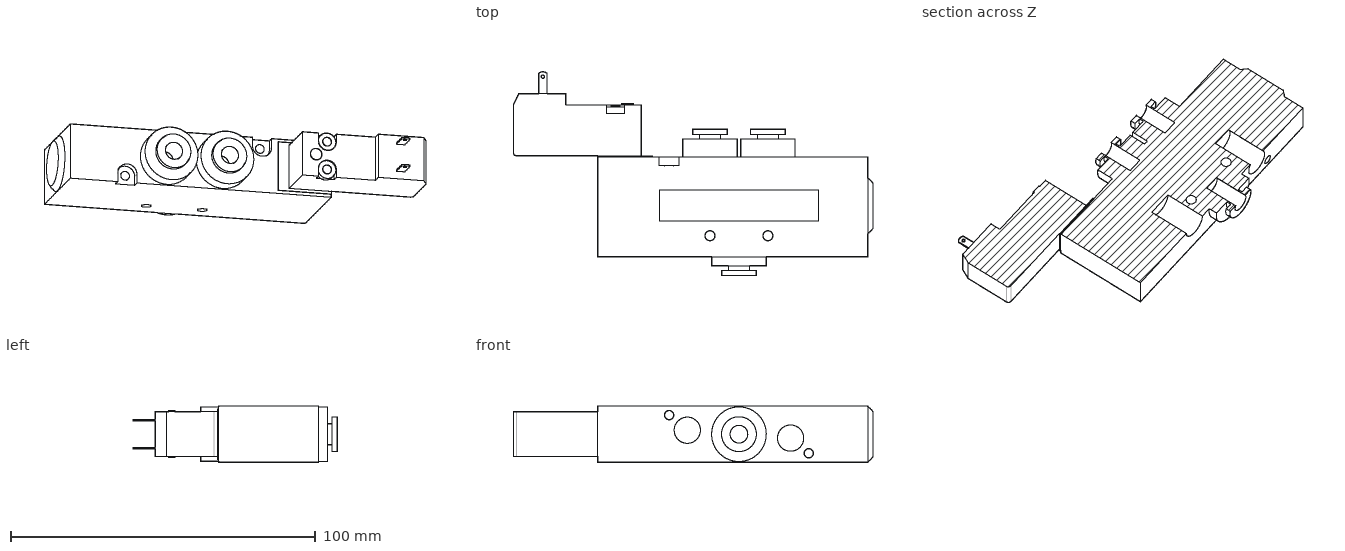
import cadquery as cq
import math


body_length = 88.7
body_width = 32.8
body_height = 18.5
body_left = -46.4
body_right = body_left + body_length
body_top = body_height / 2

port_pitch = 19.0
collar_dia = 18.0
collar_height = 3.0
rear_boss_height = 3.0
neck_dia = 7.0
neck_height = 1.4
flange_dia = 11.5
flange_height = 1.8
fitting_bore_dia = 5.8
fitting_bore_depth = 11.8

top_hole_dia = 3.2
mount_dia = 3.0
top_hole_y = 7.0
exhaust_dia = 8.6
exhaust_depth = 14.2
exhaust_pitch = 33.9
exhaust_z = 1.3
mount_pitch = 45.8
mount_z = 6.3
mount_slot_width = 6.5
mount_slot_depth = 2.8
label_length = 52.1
label_width = 10.0
label_y = 16.9
label_depth = 0.1

cap_dia = 18.3
cap_thickness = 1.8
cap_y = 16.8
cap_edge_bulge = 0.1

gasket_length = 18.1
gasket_height = 16.5
gasket_thickness = 0.4

solenoid_length = 42.0
solenoid_height = 14.8
solenoid_left = body_left - 27.6
solenoid_right = solenoid_left + solenoid_length
solenoid_front = body_width + gasket_thickness
solenoid_step_y = body_width + 17.1
connector_length = 17.2
connector_rise = 3.7
connector_y = solenoid_step_y + connector_rise
chamfer_run = 1.8
corner_round = 1.1

terminal_x = solenoid_left + 9.7
terminal_z = 4.6
terminal_width = 2.8
terminal_length = 7.2
terminal_thickness = 0.5
terminal_tip_rise = 0.6
terminal_hole_dia = 1.0
terminal_hole_offset = 1.7

screw_dia = 6.0
screw_x = solenoid_right - 8.5
screw_protrusion = 0.4
screw_z = solenoid_height / 2 + screw_protrusion - screw_dia / 2
screw_slot_depth = 2.8
screw_head_height = 2.1
screw_tip_dia = 3.0
screw_tip_height = 0.4

button_dia = 3.9
button_x = solenoid_right - 4.6
button_height = 0.4


def cylinder_y(x, y, z, dia, length):
    """Cylinder from the point (x, y, z) along Y; a negative length runs toward -Y."""
    direction = cq.Vector(0, math.copysign(1, length), 0)
    return cq.Workplane(cq.Solid.makeCylinder(dia / 2, abs(length), cq.Vector(x, y, z), direction))


def screw_slot(x, rear_y, z, width, depth):
    """Round-bottomed slot cut forward from a rear face and open to the nearer Z side."""
    reach = math.copysign(body_height, z)
    opening = cq.Workplane("XY").box(width, depth, body_height)
    opening = opening.translate((x, rear_y - depth / 2, z + reach / 2))
    return cylinder_y(x, rear_y, z, width, -depth).union(opening)


def add_fitting(body, x, face_y, outward, boss_height):
    """Stepped fitting on a body face, standing out along Y, with a blind bore."""
    steps = [
        (collar_dia, boss_height + collar_height),
        (neck_dia, neck_height),
        (flange_dia, flange_height),
    ]
    y = face_y
    for dia, height in steps:
        body = body.union(cylinder_y(x, y, 0, dia, outward * height))
        y += outward * height
    return body.cut(cylinder_y(x, y, 0, fitting_bore_dia, -outward * fitting_bore_depth))


def make_end_cap():
    """Disc with a rim that slopes at 45 degrees along a slightly bulging arc."""
    rim = cap_dia / 2
    offset = cap_thickness / 2 + cap_edge_bulge * math.sqrt(0.5)
    return (
        cq.Workplane("XY", origin=(body_right, cap_y, 0))
        .moveTo(0, 0)
        .lineTo(0, rim)
        .threePointArc((offset, rim - cap_thickness + offset), (cap_thickness, rim - cap_thickness))
        .lineTo(cap_thickness, 0)
        .close()
        .revolve(360, (0, 0), (1, 0))
    )


def make_valve_body():
    body = cq.Workplane("XY").box(body_length, body_width, body_height)
    body = body.translate((body_left + body_length / 2, body_width / 2, 0))

    body = body.union(make_end_cap())

    body = add_fitting(body, 0, 0, -1, 0)
    for side in (-1, 1):
        body = add_fitting(body, side * port_pitch / 2, body_width, 1, rear_boss_height)

    for side in (-1, 1):
        exhaust_x = side * exhaust_pitch / 2
        body = body.cut(cylinder_y(exhaust_x, 0, -side * exhaust_z, exhaust_dia, exhaust_depth))
        mount_x = side * mount_pitch / 2
        hole_z = -side * mount_z
        body = body.cut(cylinder_y(mount_x, 0, hole_z, mount_dia, body_width))
        body = body.cut(screw_slot(mount_x, body_width, hole_z, mount_slot_width, mount_slot_depth))

    top_holes = cq.Workplane("XY", origin=(0, 0, -body_top))
    top_holes = top_holes.pushPoints([(-port_pitch / 2, top_hole_y), (port_pitch / 2, top_hole_y)])
    body = body.cut(top_holes.circle(top_hole_dia / 2).extrude(body_height))

    label = cq.Workplane("XY", origin=(0, label_y, body_top))
    return body.cut(label.rect(label_length, label_width).extrude(-label_depth))


def make_gasket():
    gasket = cq.Workplane("XY").box(gasket_length, gasket_thickness, gasket_height)
    return gasket.translate((body_left + gasket_length / 2, body_width + gasket_thickness / 2, 0))


def make_terminal(z):
    """Flat blade with a rounded tip and a small eyelet."""
    half_width = terminal_width / 2
    shoulder = terminal_length - terminal_tip_rise
    blade = (
        cq.Workplane("XY", origin=(terminal_x, connector_y, z - terminal_thickness / 2))
        .moveTo(-half_width, 0)
        .lineTo(-half_width, shoulder)
        .threePointArc((0, terminal_length), (half_width, shoulder))
        .lineTo(half_width, 0)
        .close()
        .extrude(terminal_thickness)
    )
    eyelet = cq.Workplane("XY", origin=(terminal_x, connector_y, z - terminal_thickness / 2))
    eyelet = eyelet.center(0, terminal_length - terminal_hole_offset)
    return blade.cut(eyelet.circle(terminal_hole_dia / 2).extrude(terminal_thickness))


def make_solenoid():
    connector_right = solenoid_left + connector_length
    outline = [
        (solenoid_left, solenoid_front),
        (solenoid_right, solenoid_front),
        (solenoid_right, solenoid_step_y),
        (connector_right, solenoid_step_y),
        (connector_right, connector_y),
        (solenoid_left + chamfer_run, connector_y),
        (solenoid_left, solenoid_step_y),
    ]
    solenoid = cq.Workplane("XY", origin=(0, 0, -solenoid_height / 2))
    solenoid = solenoid.polyline(outline).close().extrude(solenoid_height)
    solenoid = solenoid.edges("|Z and <X and <Y").fillet(corner_round)

    for side in (-1, 1):
        head_z = side * screw_z
        floor_y = solenoid_step_y - screw_slot_depth
        head_top_y = floor_y + screw_head_height
        solenoid = solenoid.cut(screw_slot(screw_x, solenoid_step_y, head_z, screw_dia, screw_slot_depth))
        solenoid = solenoid.union(cylinder_y(screw_x, floor_y, head_z, screw_dia, screw_head_height))
        solenoid = solenoid.union(cylinder_y(screw_x, head_top_y, head_z, screw_tip_dia, screw_tip_height))

        solenoid = solenoid.union(make_terminal(side * terminal_z))

    return solenoid.union(cylinder_y(button_x, solenoid_step_y, 0, button_dia, button_height))


valve_body = make_valve_body()
gasket = make_gasket()
solenoid = make_solenoid()

result = cq.Compound.makeCompound([valve_body.solids().val(), gasket.val(), solenoid.solids().val()])